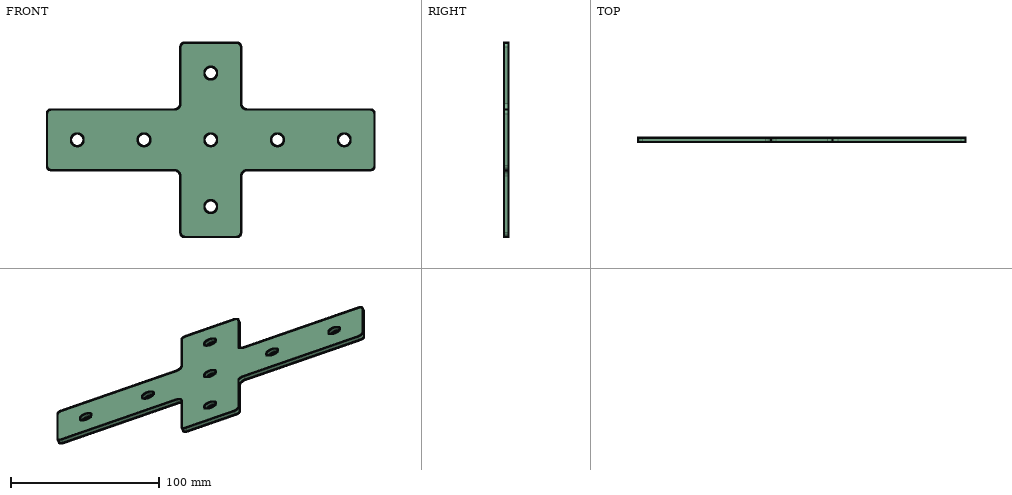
import cadquery as cq

length = 221.0
bar_width = 41.0
thickness = 3.0
hole_diameter = 8.5
outer_corner_radius = 3.0
inner_corner_radius = 4.0

hole_pitch = (length - bar_width) / 4
height = bar_width + 2 * hole_pitch


def rounded_bar(size_x, size_z):
    """Flat bar in the XZ plane, centred on the origin, with rounded corners."""
    return (
        cq.Workplane("XY")
        .box(size_x, thickness, size_z)
        .edges("|Y")
        .fillet(outer_corner_radius)
    )


cross = rounded_bar(length, bar_width).union(rounded_bar(bar_width, height))
inner_corner_reach = bar_width / 2 + inner_corner_radius / 2
inner_corners = cq.selectors.BoxSelector(
    (-inner_corner_reach, -thickness, -inner_corner_reach),
    (inner_corner_reach, thickness, inner_corner_reach),
)
plate = cross.edges("|Y").edges(inner_corners).fillet(inner_corner_radius)

hole_centres = [(step * hole_pitch, 0) for step in range(-2, 3)]
hole_centres += [(0, side * hole_pitch) for side in (-1, 1)]
holes = (
    cq.Workplane("XZ")
    .pushPoints(hole_centres)
    .circle(hole_diameter / 2)
    .extrude(thickness, both=True)
)

result = plate.cut(holes)